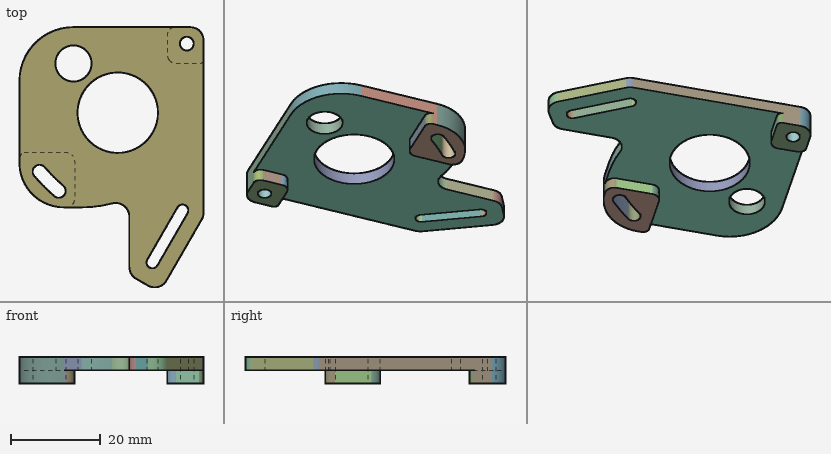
import cadquery as cq
import math

plate_thickness = 3.0
pad_depth = 2.95

left = -21.95
right = 19.15
top = 19.1
bottom = -39.0
body_bottom = -21.15
tab_left = 2.55
tab_angle = math.radians(60)
tab_tip_x = 8.25
large_corner = 12.1
lower_corner = 10.0
small_corner = 3.0

sweep_radius = 26.7
sweep_start_x = -8.1

bore_radius = 8.95
side_hole_radius = 4.0
side_hole_center = (-9.9, 11.0)
pivot_radius = 1.5
pivot = (15.4, 15.4)
curved_slot_path_radius = 43.5
curved_slot_half_width = 1.5
curved_slot_half_angle = math.radians(4.0)
curved_slot_mid_angle = math.radians(225)
tab_slot_start = (7.7, -33.4)
tab_slot_travel = 13.4
tab_slot_width = 2.55

pivot_pad_size = 8.15
pivot_pad_inner_corner = 2.0
pivot_pad_right_corner = 1.1
pivot_pad_top_corner = 1.6
slot_pad_size = 12.3
slot_pad_right_corner = 2.15
slot_pad_top_corner = 1.45
slot_pad_inner_corner = 2.0


def round_corner(body, corner, radius):
    """Round the vertical edge standing at the given XY corner."""
    edge = body.edges("|Z").edges(cq.selectors.NearestToPointSelector((*corner, body.val().Center().z)))
    return edge.fillet(radius)


def polar(center, radius, angle):
    return (center[0] + radius * math.cos(angle), center[1] + radius * math.sin(angle))


def make_plate():
    tip_center = (tab_tip_x, bottom + small_corner)
    side_touch = polar(tip_center, small_corner, tab_angle - math.pi / 2)
    tip = polar(side_touch, -small_corner, tab_angle)
    right_bend = (right, tip[1] + (right - tip[0]) * math.tan(tab_angle))
    tab_corner = (tab_left, tip[1] + (tip[0] - tab_left) / math.tan(tab_angle))

    sweep_center = (sweep_start_x, body_bottom + sweep_radius)
    sweep_angle = math.asin((tab_left - sweep_start_x) / sweep_radius)
    sweep_middle = polar(sweep_center, sweep_radius, -math.pi / 2 + sweep_angle / 2)
    sweep_end = polar(sweep_center, sweep_radius, -math.pi / 2 + sweep_angle)

    plate = (
        cq.Workplane("XY")
        .moveTo(left, top)
        .lineTo(left, body_bottom)
        .lineTo(sweep_start_x, body_bottom)
        .threePointArc(sweep_middle, sweep_end)
        .lineTo(*tab_corner)
        .lineTo(*tip)
        .lineTo(*right_bend)
        .lineTo(right, top)
        .close()
        .extrude(plate_thickness)
    )
    plate = round_corner(plate, (left, top), large_corner)
    plate = round_corner(plate, (left, body_bottom), lower_corner)
    for corner in (sweep_end, tab_corner, tip, right_bend, (right, top)):
        plate = round_corner(plate, corner, small_corner)
    return plate


def make_pad(x_min, y_min, size, rounded_corners):
    """Square pad below the plate, with (x, y, radius) for each rounded corner."""
    pad = cq.Workplane("XY").rect(size, size).extrude(-pad_depth)
    pad = pad.translate((x_min + size / 2, y_min + size / 2, 0))
    for x, y, radius in rounded_corners:
        pad = round_corner(pad, (x, y), radius)
    return pad


def make_pivot_pad():
    x_min = right - pivot_pad_size
    y_min = top - pivot_pad_size
    corners = [
        (x_min, y_min, pivot_pad_inner_corner),
        (right, y_min, pivot_pad_right_corner),
        (x_min, top, pivot_pad_top_corner),
        (right, top, small_corner),
    ]
    return make_pad(x_min, y_min, pivot_pad_size, corners)


def make_slot_pad():
    x_max = left + slot_pad_size
    y_max = body_bottom + slot_pad_size
    corners = [
        (left, body_bottom, lower_corner),
        (x_max, body_bottom, slot_pad_right_corner),
        (left, y_max, slot_pad_top_corner),
        (x_max, y_max, slot_pad_inner_corner),
    ]
    return make_pad(left, body_bottom, slot_pad_size, corners)


def cutting_plane():
    return cq.Workplane("XY").workplane(offset=-pad_depth)


def hole_cutter(center, radius):
    return cutting_plane().center(*center).circle(radius).extrude(plate_thickness + pad_depth)


def curved_slot_cutter():
    """Slot following an arc about the pivot hole, with round ends."""
    inner = curved_slot_path_radius - curved_slot_half_width
    outer = curved_slot_path_radius + curved_slot_half_width
    start = curved_slot_mid_angle - curved_slot_half_angle
    end = curved_slot_mid_angle + curved_slot_half_angle
    end_overrun = curved_slot_half_width / curved_slot_path_radius
    return (
        cutting_plane()
        .moveTo(*polar(pivot, inner, start))
        .threePointArc(polar(pivot, inner, curved_slot_mid_angle), polar(pivot, inner, end))
        .threePointArc(polar(pivot, curved_slot_path_radius, end + end_overrun), polar(pivot, outer, end))
        .threePointArc(polar(pivot, outer, curved_slot_mid_angle), polar(pivot, outer, start))
        .threePointArc(polar(pivot, curved_slot_path_radius, start - end_overrun), polar(pivot, inner, start))
        .close()
        .extrude(plate_thickness + pad_depth)
    )


def tab_slot_cutter():
    """Straight slot parallel to the slanted side of the tab."""
    center = polar(tab_slot_start, tab_slot_travel / 2, tab_angle)
    return (
        cutting_plane()
        .center(*center)
        .slot2D(tab_slot_travel + tab_slot_width, tab_slot_width, math.degrees(tab_angle))
        .extrude(plate_thickness + pad_depth)
    )


result = make_plate().union(make_pivot_pad()).union(make_slot_pad())
result = result.cut(hole_cutter((0, 0), bore_radius))
result = result.cut(hole_cutter(side_hole_center, side_hole_radius))
result = result.cut(hole_cutter(pivot, pivot_radius))
result = result.cut(curved_slot_cutter())
result = result.cut(tab_slot_cutter())